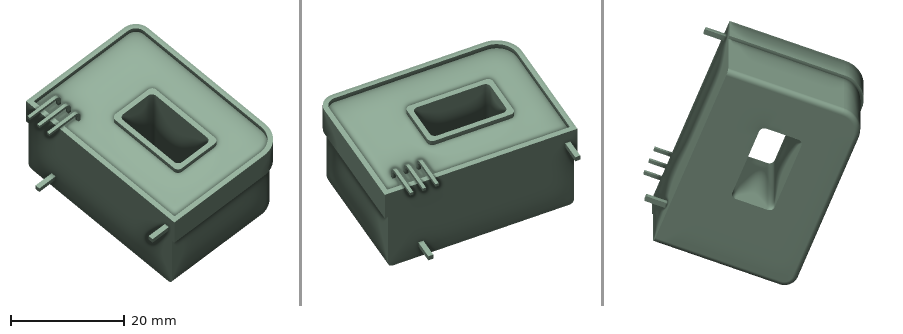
import cadquery as cq
import math

cap_width = 38.0
cap_depth = 27.0
cap_height = 5.75
housing_height = 18.0
side_inset = 0.65
back_inset = 0.57
cap_left_radius = 3.0
cap_right_radius = 5.0
body_left_radius = 2.5
body_right_radius = 4.5
bottom_fillet = 1.0

wall = 1.0
recess_depth = 1.0
window_width = 15.0
window_depth = 8.0
window_radius = 1.0
window_x = 21.55
window_y = 13.45

pin_size = 1.0
pin_length = 4.0
pin_places = [(36.1, 14.97), (7.1, 3.05)]

terminal_width = 0.65
terminal_thickness = 0.6
terminal_rise = 1.55
terminal_overhang = 3.0
terminal_back_y = 4.65
terminal_bend_radius = 1.5
terminal_pitch = 2.5
first_terminal_x = 3.85
terminal_count = 3

body_height = housing_height - cap_height
floor_z = housing_height - recess_depth


def round_backed_block(x_min, x_max, y_min, y_max, z_min, height, left_radius, right_radius):
    """Upright block whose two back corners are rounded."""
    block = cq.Workplane("XY").box(x_max - x_min, y_max - y_min, height, centered=False)
    block = block.edges("|Z and >Y and <X").fillet(left_radius)
    block = block.edges("|Z and >Y and >X").fillet(right_radius)
    return block.translate((x_min, y_min, z_min))


def window_block(margin, z_min, height):
    """Rounded rectangular block centred on the window, larger by margin on every side."""
    return (
        cq.Workplane("XY", origin=(window_x, window_y, z_min))
        .rect(window_width + 2 * margin, window_depth + 2 * margin)
        .extrude(height)
        .edges("|Z")
        .fillet(window_radius)
    )


def make_housing():
    cap = round_backed_block(
        0, cap_width, 0, cap_depth,
        body_height, cap_height, cap_left_radius, cap_right_radius,
    )
    body = round_backed_block(
        side_inset, cap_width - side_inset, 0, cap_depth - back_inset,
        0, body_height, body_left_radius, body_right_radius,
    )
    body = body.faces("<Z").edges("not <Y").fillet(bottom_fillet)
    recess = round_backed_block(
        wall, cap_width - wall, wall, cap_depth - wall,
        floor_z, recess_depth, cap_left_radius - wall, cap_right_radius - wall,
    )
    collar = window_block(wall, floor_z, recess_depth)
    window = window_block(0, 0, housing_height)
    return cap.union(body).cut(recess).union(collar).cut(window)


def make_pin(x, z):
    return cq.Workplane("XZ", origin=(x, 0, z)).rect(pin_size, pin_size).extrude(pin_length)


def make_terminal(x):
    top_z = housing_height + terminal_rise
    leg_y = terminal_back_y - terminal_thickness
    arm_z = top_z - terminal_thickness
    inner_radius = terminal_bend_radius - terminal_thickness
    bend_y = terminal_back_y - terminal_bend_radius
    bend_z = top_z - terminal_bend_radius
    diagonal = math.sqrt(0.5)
    return (
        cq.Workplane("YZ", origin=(x - terminal_width / 2, 0, 0))
        .moveTo(terminal_back_y, floor_z)
        .lineTo(terminal_back_y, bend_z)
        .threePointArc(
            (bend_y + terminal_bend_radius * diagonal, bend_z + terminal_bend_radius * diagonal),
            (bend_y, top_z),
        )
        .lineTo(-terminal_overhang, top_z)
        .lineTo(-terminal_overhang, arm_z)
        .lineTo(bend_y, arm_z)
        .threePointArc(
            (bend_y + inner_radius * diagonal, bend_z + inner_radius * diagonal),
            (leg_y, bend_z),
        )
        .lineTo(leg_y, floor_z)
        .close()
        .extrude(terminal_width)
    )


result = make_housing()
for pin_x, pin_z in pin_places:
    result = result.union(make_pin(pin_x, pin_z))
for index in range(terminal_count):
    result = result.union(make_terminal(first_terminal_x + index * terminal_pitch))